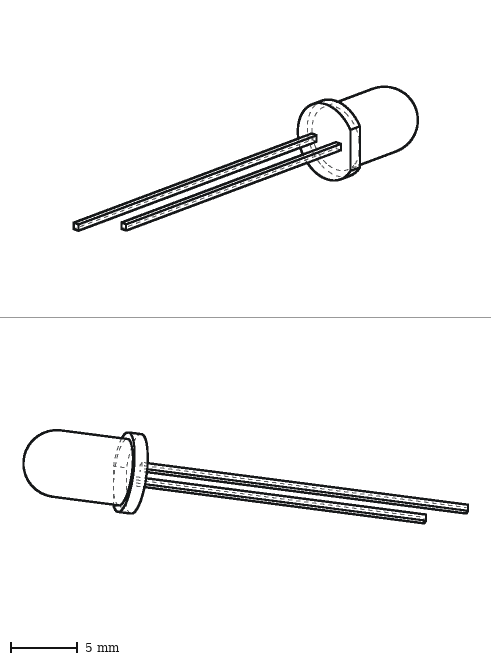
import cadquery as cq

total_length = 34.1
long_lead_length = 25.4
lead_length_difference = 2.52
lead_width = 0.5
lead_pitch = 2.52

flange_diameter = 6.0
flange_thickness = 1.02
lens_diameter = 5.0

flange_radius = flange_diameter / 2
lens_radius = lens_diameter / 2
flat_offset = lens_radius
body_length = total_length - long_lead_length
dome_start = body_length - lens_radius


def make_lens():
    """Cylinder with a hemispherical tip, revolved about the Y axis."""
    dome_mid = lens_radius * 0.5 ** 0.5
    return (
        cq.Workplane("XY")
        .lineTo(lens_radius, 0)
        .lineTo(lens_radius, dome_start)
        .threePointArc((dome_mid, dome_start + dome_mid), (0, body_length))
        .close()
        .revolve(360, (0, 0), (0, 1))
    )


def make_flange():
    """Round rim with a polarity flat on the +X side."""
    rim = cq.Workplane("XZ").circle(flange_radius).extrude(-flange_thickness)
    kept_width = flange_radius + flat_offset
    keep = cq.Workplane("XY").box(kept_width, flange_thickness, flange_diameter).translate(
        ((flat_offset - flange_radius) / 2, flange_thickness / 2, 0)
    )
    return rim.intersect(keep)


def make_lead(x, length):
    """Square lead running from the flange back towards -Y."""
    return cq.Workplane("XZ").center(x, 0).rect(lead_width, lead_width).extrude(length)


result = (
    make_lens()
    .union(make_flange())
    .union(make_lead(-lead_pitch / 2, long_lead_length))
    .union(make_lead(lead_pitch / 2, long_lead_length - lead_length_difference))
)